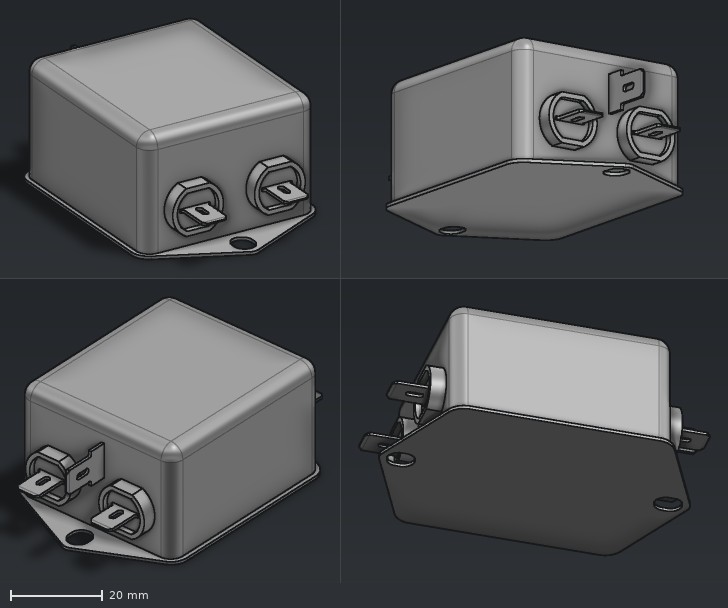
import cadquery as cq

overall_height = 29.3
case_length = 50.4
case_width = 44.3
case_edge_radius = 3.4

plate_thickness = 0.8
plate_width = 46.6
plate_nose_x = 35.7
plate_corner_x = 24.6
plate_nose_radius = 2.5
plate_corner_radius = case_edge_radius + (plate_width - case_width) / 2
mount_slot_x = 30.5
mount_slot_length = 6.3
mount_slot_width = 5.2

terminal_y = 10.5
terminal_z = 10.75
cup_diameter = 13.0
cup_height = 11.55
cup_wall = 1.2
cup_projection = 3.55
cup_recess_depth = 1.5

blade_thickness = 0.75
blade_width = 6.3
blade_tip_bevel = 0.75
blade_bevel_depth = 0.2
blade_corner_cut = 0.9
blade_shoulder_fillet = 0.4
blade_slot_length = 3.9
blade_slot_width = 1.5

line_tip_x = 36.3
line_shoulder_width = 7.5
line_shoulder_x = 27.8
line_slot_x = 30.5

ground_tip_x = 37.8
ground_y = -2.15
ground_z = 19.2
ground_shoulder_width = 8.95
ground_shoulder_x = 29.6
ground_slot_x = 32.4

case_wall_x = case_length / 2
cup_face_x = case_wall_x + cup_projection
cup_floor_x = cup_face_x - cup_recess_depth


def make_blade(root_x, shoulder_x, tip_x, shoulder_width, slot_x):
    """Flat blade along +X, lying in the XY plane, with a wider shoulder at its root."""
    half_blade = blade_width / 2
    half_shoulder = shoulder_width / 2
    tip_half = half_blade - blade_corner_cut
    upper_side = [
        (root_x, half_shoulder),
        (shoulder_x, half_shoulder),
        (shoulder_x, half_blade),
        (tip_x - blade_corner_cut, half_blade),
        (tip_x, tip_half),
    ]
    lower_side = [(x, -y) for x, y in reversed(upper_side)]
    blade = (
        cq.Workplane("XY")
        .polyline(upper_side + lower_side)
        .close()
        .extrude(blade_thickness / 2, both=True)
    )
    shoulder_steps = cq.selectors.BoxSelector(
        (shoulder_x - blade_shoulder_fillet, -half_blade - blade_shoulder_fillet, -blade_thickness),
        (shoulder_x + blade_shoulder_fillet, half_blade + blade_shoulder_fillet, blade_thickness),
    )
    blade = blade.edges("|Z").edges(shoulder_steps).fillet(blade_shoulder_fillet)
    half_thickness = blade_thickness / 2
    bevel_x = tip_x - blade_tip_bevel
    edge_profile = [
        (root_x, half_thickness),
        (bevel_x, half_thickness),
        (tip_x, half_thickness - blade_bevel_depth),
        (tip_x, blade_bevel_depth - half_thickness),
        (bevel_x, -half_thickness),
        (root_x, -half_thickness),
    ]
    bevelled_bar = cq.Workplane("XZ").polyline(edge_profile).close().extrude(half_shoulder, both=True)
    blade = blade.intersect(bevelled_bar)
    slot = (
        cq.Workplane("XY")
        .center(slot_x, 0)
        .slot2D(blade_slot_length, blade_slot_width)
        .extrude(blade_thickness, both=True)
    )
    return blade.cut(slot)


def make_cup_profile(diameter, height, start_x, end_x):
    """Round bar along +X from start_x to end_x, with flats above and below."""
    length = end_x - start_x
    bar = cq.Workplane("YZ", origin=(start_x, 0, 0)).circle(diameter / 2).extrude(length)
    flats = cq.Workplane("YZ", origin=(start_x, 0, 0)).rect(diameter, height).extrude(length)
    return bar.intersect(flats)


def make_plate():
    outline = [
        (plate_nose_x, 0),
        (plate_corner_x, plate_width / 2),
        (-plate_corner_x, plate_width / 2),
        (-plate_nose_x, 0),
        (-plate_corner_x, -plate_width / 2),
        (plate_corner_x, -plate_width / 2),
    ]
    plate = cq.Workplane("XY").polyline(outline).close().extrude(plate_thickness)
    plate = plate.edges("|Z and (<X or >X)").fillet(plate_nose_radius)
    plate = plate.edges("|Z and (<Y or >Y)").fillet(plate_corner_radius)
    mount_slots = (
        cq.Workplane("XY")
        .pushPoints([(-mount_slot_x, 0), (mount_slot_x, 0)])
        .slot2D(mount_slot_length, mount_slot_width)
        .extrude(plate_thickness)
    )
    return plate.cut(mount_slots)


def make_ground_blade():
    blade = make_blade(
        case_wall_x, ground_shoulder_x, ground_tip_x, ground_shoulder_width, ground_slot_x
    )
    upright = blade.rotate((0, 0, 0), (1, 0, 0), 90)
    return upright.rotate((0, 0, 0), (0, 0, 1), 180).translate((0, ground_y, ground_z))


def make_housing():
    case = cq.Workplane("XY").box(case_length, case_width, overall_height, centered=(True, True, False))
    case = case.edges("|Z or >Z").fillet(case_edge_radius)
    return case.union(make_plate()).union(make_ground_blade())


def make_terminal():
    cup = make_cup_profile(cup_diameter, cup_height, case_wall_x, cup_face_x)
    recess = make_cup_profile(
        cup_diameter - 2 * cup_wall, cup_height - 2 * cup_wall, cup_floor_x, cup_face_x
    )
    blade = make_blade(cup_floor_x, line_shoulder_x, line_tip_x, line_shoulder_width, line_slot_x)
    return cup.cut(recess).union(blade)


housing = make_housing()

terminals = []
for end_angle in (0, 180):
    for side in (-1, 1):
        terminal = make_terminal().rotate((0, 0, 0), (0, 0, 1), end_angle)
        terminals.append(terminal.translate((0, side * terminal_y, terminal_z)))

result = cq.Compound.makeCompound([housing.val(), *[terminal.val() for terminal in terminals]])